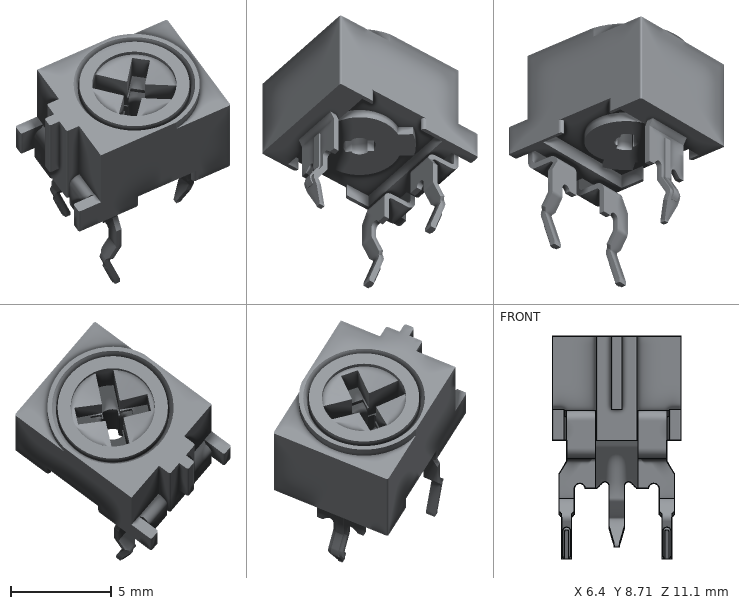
import cadquery as cq
import math


OVERCUT = 0.11
FAR = 6.66

WIDTH = 6.4
HEIGHT = 5.2
FRONT_Y = -3.75
BACK_Y = 3.7
EAR_FRONT_Y = -5.01
EDGE_ROUND = 0.1

BACK_STEP = 0.5
COLLAR_D = 6.5

WIDE_RIB_WIDTH = 2.02
WIDE_RIB_FRONT_Y = -4.45
NARROW_RIB_WIDTH = 0.53
EAR_HEIGHT = 1.55
EAR_WIDTH = 0.58

BORE_D = 5.65
BORE_FLOOR_Z = 2.22
BORE_RIM_D = 6.06
BORE_RIM_DEPTH = 0.33

SIDE_SLOT_WIDTH = 3.06
SIDE_SLOT_HEIGHT = 0.74
SIDE_SLOT_ROUND = 0.19
CAVITY_WALL = 0.2
CAVITY_FRONT_Y = -2.89
CAVITY_BACK_Y = 2.16

ROTOR_D = 5.5
ROTOR_BOSS_D = 4.2
ROTOR_BOTTOM_Z = 0.24
ROTOR_TURN = 50.0
RECESS_D = 4.2
RECESS_DEPTH = 0.22
CONE_DROP = 0.34
SLOT_WIDTH = 0.91
LONG_SLOT_DEPTH = 2.29
SHORT_SLOT_DEPTH = 1.66
SHORT_SLOT_LENGTH = 3.71
HUB_POCKET_LENGTH = 2.11
HUB_POCKET_WIDTH = 0.78
HUB_POCKET_DEPTH = 1.89
HUB_HOLE_D = 1.2
HUB_HOLE_ROUND = 0.23
LONG_HOLE_LENGTH = 1.62
STOP_WIDTH = 1.53
STOP_REACH = 2.8

SHEET = 0.3
HALF_SHEET = SHEET / 2
TIGHT_BEND = HALF_SHEET
KNEE_BEND = 0.1 + HALF_SHEET
ROUND_BEND = 0.2 + HALF_SHEET
SHARP = 0.001
BLADE_WIDTH = 0.78
BLADE_BASE_Z = -2.39
BEAD_HEIGHT = 0.1
BEAD_WIDTH = 0.4
BEAD_FLANK_ANGLE = 45

OVERALL_HEIGHT = 11.1
FRONT_TIP_Z = HEIGHT - OVERALL_HEIGHT
FRONT_BLADE_X = 2.5
FRONT_ROOT_Y = -3.22
FRONT_ROOT_Z = 1.34
FRONT_HANG_Y = -4.16
FRONT_BLADE_Y = -2.53
FRONT_SHELF_Z = -0.75
FRONT_HEEL = (FRONT_BLADE_Y, -2.93)
FRONT_KNEE = (-3.15, -3.86)
FRONT_FOOT = (FRONT_BLADE_Y, -5.7)
FRONT_PATH = [
    (FRONT_ROOT_Y, FRONT_ROOT_Z, 0),
    (FRONT_HANG_Y, FRONT_ROOT_Z, ROUND_BEND),
    (FRONT_HANG_Y, FRONT_SHELF_Z, ROUND_BEND),
    (FRONT_BLADE_Y, FRONT_SHELF_Z, ROUND_BEND),
    (*FRONT_HEEL, TIGHT_BEND),
    (*FRONT_KNEE, KNEE_BEND),
    (*FRONT_FOOT, TIGHT_BEND),
    (FRONT_BLADE_Y, FRONT_TIP_Z, 0),
]
FRONT_INNER_X = 1.05
FRONT_OUTER_X = 2.5
FRONT_FLARE_TOP_Z = -1.03
FRONT_FLARE_END_Z = -1.68
FRONT_NOTCH_WIDTH = 0.53
FRONT_NOTCH_HEIGHT = 0.24
FRONT_PIN_WIDTH = 0.49
FRONT_SHOULDER_START = 0.8
FRONT_SHOULDER_END = 0.99
ROOT_FLARE = 0.11
ROOT_FLARE_Y = -3.93
FRONT_BEAD_START = 0.43

REAR_BLADE_Y = 2.48
REAR_HEEL = (REAR_BLADE_Y, -2.93)
REAR_KNEE = (3.07, -3.88)
REAR_FOOT = (REAR_BLADE_Y, -5.2)
REAR_TIP_Z = -5.32
REAR_PATH = [
    (2.92, 0.44, 0),
    (REAR_BLADE_Y, -0.32, TIGHT_BEND),
    (*REAR_HEEL, TIGHT_BEND),
    (*REAR_KNEE, KNEE_BEND),
    (*REAR_FOOT, TIGHT_BEND),
    (REAR_BLADE_Y, REAR_TIP_Z, 0),
]
REAR_HALF_WIDTH = 1.3
REAR_NOTCH_R = 0.2
REAR_NOTCH_TOP_Z = -2.06
REAR_TIP_WIDTH = 0.25
REAR_TAPER_START = 0.47
REAR_BEAD_TOP_Z = -0.6
REAR_BEAD_END = (2.91, -4.14)


def block(x0, x1, y0, y1, z0, z1):
    """Box between two corners."""
    return cq.Workplane("XY").box(x1 - x0, y1 - y0, z1 - z0, centered=False).translate((x0, y0, z0))


def cylinder(diameter, z0, z1):
    """Cylinder on the rotor axis."""
    return cq.Workplane("XY").workplane(offset=z0).circle(diameter / 2).extrude(z1 - z0)



def path_side(path, offset):
    """One face of a folded sheet, `offset` to the left of its path.

    Each corner of the path gives one point, or three points of an arc where the sheet is bent round.
    """
    side = []
    for i, (y, z, radius) in enumerate(path):
        before = path[max(i - 1, 0)]
        after = path[min(i + 1, len(path) - 1)]
        heading_in = math.atan2(z - before[1], y - before[0])
        heading_out = math.atan2(after[1] - z, after[0] - y)
        if i == 0:
            heading_in = heading_out
        if i == len(path) - 1:
            heading_out = heading_in
        turn = math.remainder(heading_out - heading_in, 2 * math.pi)
        left = heading_in + turn / 2 + math.pi / 2
        bend = math.copysign(1, turn)
        side_radius = radius - bend * offset
        if turn == 0 or side_radius < SHARP:
            reach = offset / math.cos(turn / 2)
            side.append([(y + reach * math.cos(left), z + reach * math.sin(left))])
            continue
        centre_reach = bend * radius / math.cos(turn / 2)
        centre = (y + centre_reach * math.cos(left), z + centre_reach * math.sin(left))
        arc = []
        for part in (-0.5, 0, 0.5):
            angle = left + part * turn
            arc_y = centre[0] - bend * side_radius * math.cos(angle)
            arc_z = centre[1] - bend * side_radius * math.sin(angle)
            arc.append((arc_y, arc_z))
        side.append(arc)
    return side


def folded_sheet(path, right, left, x0, x1):
    """Sheet between two offsets of a Y-Z path, from x0 to x1."""
    there = path_side(path, right)
    back = [corner[::-1] for corner in reversed(path_side(path, left))]
    corners = there + back
    outline = cq.Workplane("YZ").workplane(offset=x0).moveTo(*corners[0][0])
    for corner in corners[1:]:
        outline = outline.lineTo(*corner[0])
        if len(corner) > 1:
            outline = outline.threePointArc(*corner[1:])
    return outline.close().extrude(x1 - x0)


def blade_plane(x, start, end):
    """Plane on the sheet's centreline: local x along X, local y from start towards end."""
    dy, dz = end[0] - start[0], end[1] - start[1]
    return cq.Plane(origin=(x, start[0], start[1]), xDir=(1, 0, 0), normal=(0, -dz, dy))


def narrow_blade(blade, plane, narrow_width, shoulder_start, shoulder_end):
    """Taper both edges of a blade square to its sheet, down to narrow_width beyond the shoulder."""
    for side in (-1, 1):
        waste = (
            cq.Workplane(plane)
            .polyline([
                (side * BLADE_WIDTH / 2, shoulder_start),
                (side * narrow_width / 2, shoulder_end),
                (side * narrow_width / 2, FAR),
                (side * BLADE_WIDTH, FAR),
                (side * BLADE_WIDTH, shoulder_start),
            ])
            .close()
            .extrude(FAR, both=True)
        )
        blade = blade.cut(waste)
    return blade



def front_outline():
    """Front terminal seen along Y, on the +X side, as a prism through the whole depth."""
    blade_in = FRONT_BLADE_X - BLADE_WIDTH / 2
    blade_out = FRONT_BLADE_X + BLADE_WIDTH / 2
    notch_in = blade_in - FRONT_NOTCH_WIDTH
    notch_top = (blade_in - FRONT_NOTCH_WIDTH / 2, BLADE_BASE_Z + FRONT_NOTCH_HEIGHT)
    return (
        cq.Workplane("XZ")
        .moveTo(FRONT_INNER_X, EAR_HEIGHT)
        .lineTo(FRONT_OUTER_X, EAR_HEIGHT)
        .lineTo(FRONT_OUTER_X, FRONT_FLARE_TOP_Z)
        .lineTo(blade_out, FRONT_FLARE_END_Z)
        .lineTo(blade_out, FRONT_TIP_Z - OVERCUT)
        .lineTo(blade_in, FRONT_TIP_Z - OVERCUT)
        .lineTo(blade_in, BLADE_BASE_Z)
        .threePointArc(notch_top, (notch_in, BLADE_BASE_Z))
        .lineTo(FRONT_INNER_X, BLADE_BASE_Z)
        .close()
        .extrude(FAR, both=True)
    )


def front_root_flare(sheet):
    """Widening of the sheet towards the housing."""
    wedge = (
        cq.Workplane("XY")
        .polyline([
            (FRONT_OUTER_X, ROOT_FLARE_Y),
            (FRONT_OUTER_X + ROOT_FLARE, FRONT_Y),
            (FRONT_OUTER_X + ROOT_FLARE, FRONT_ROOT_Y),
            (FRONT_OUTER_X, FRONT_ROOT_Y),
        ])
        .close()
        .extrude(EAR_HEIGHT)
    )
    return sheet.intersect(wedge)


def front_bead():
    """Bead with sloping flanks and a round upper end, on the front of the pin below the knee."""
    plane = blade_plane(FRONT_BLADE_X, FRONT_FOOT, FRONT_KNEE)
    half = BEAD_WIDTH / 2
    top = math.dist(FRONT_FOOT, FRONT_KNEE) - FRONT_BEAD_START
    bead = (
        cq.Workplane(plane)
        .workplane(offset=HALF_SHEET)
        .moveTo(-half, top - half)
        .threePointArc((0, top), (half, top - half))
        .lineTo(half, -FAR)
        .lineTo(-half, -FAR)
        .close()
        .extrude(BEAD_HEIGHT, taper=BEAD_FLANK_ANGLE)
    )
    below_tip = block(0, WIDTH, -FAR, FAR, FRONT_TIP_Z - 2 * FAR, FRONT_TIP_Z)
    return bead.cut(below_tip)


def make_front_terminal():
    """Front terminal of the +X side."""
    sheet = folded_sheet(FRONT_PATH, -HALF_SHEET, HALF_SHEET, 0, WIDTH / 2)
    terminal = sheet.intersect(front_outline())
    thigh = blade_plane(FRONT_BLADE_X, FRONT_HEEL, FRONT_KNEE)
    terminal = narrow_blade(terminal, thigh, FRONT_PIN_WIDTH, FRONT_SHOULDER_START, FRONT_SHOULDER_END)
    return terminal.union(front_root_flare(sheet)).union(front_bead())


def rear_outline():
    """Rear terminal seen along Y, as a prism through the whole depth."""
    blade = BLADE_WIDTH / 2
    notch_x = blade + REAR_NOTCH_R
    notch_z = REAR_NOTCH_TOP_Z - REAR_NOTCH_R
    slant = REAR_NOTCH_R * math.sqrt(0.5)
    foot_x = notch_x + slant + (notch_z + slant - BLADE_BASE_Z)
    half = (
        cq.Workplane("XZ")
        .moveTo(0, EAR_HEIGHT)
        .lineTo(REAR_HALF_WIDTH, EAR_HEIGHT)
        .lineTo(REAR_HALF_WIDTH, BLADE_BASE_Z)
        .lineTo(foot_x, BLADE_BASE_Z)
        .lineTo(notch_x + slant, notch_z + slant)
        .threePointArc(
            (notch_x - REAR_NOTCH_R * math.sin(math.pi / 8), notch_z + REAR_NOTCH_R * math.cos(math.pi / 8)),
            (blade, notch_z),
        )
        .lineTo(blade, REAR_TIP_Z - OVERCUT)
        .lineTo(0, REAR_TIP_Z - OVERCUT)
        .close()
        .extrude(FAR, both=True)
    )
    return half.union(half.mirror("YZ"))


def rear_bead():
    """Bead down the back of the blade and round the knee."""
    path = [
        (REAR_BLADE_Y, REAR_BEAD_TOP_Z, 0),
        (*REAR_HEEL, TIGHT_BEND),
        (*REAR_KNEE, KNEE_BEND),
        (*REAR_BEAD_END, 0),
    ]
    return folded_sheet(path, HALF_SHEET, HALF_SHEET + BEAD_HEIGHT, -BEAD_WIDTH / 2, BEAD_WIDTH / 2)


def make_rear_terminal():
    sheet = folded_sheet(REAR_PATH, -HALF_SHEET, HALF_SHEET, -REAR_HALF_WIDTH, REAR_HALF_WIDTH)
    terminal = sheet.intersect(rear_outline())
    shin = blade_plane(0, REAR_KNEE, REAR_FOOT)
    shin_length = math.dist(REAR_KNEE, REAR_FOOT)
    terminal = narrow_blade(terminal, shin, REAR_TIP_WIDTH, REAR_TAPER_START, shin_length)
    return terminal.union(rear_bead())



def slot_tool(length, width, depth):
    """Straight slot down from the top face, along local X."""
    return block(-length / 2, length / 2, -width / 2, width / 2, HEIGHT - depth, HEIGHT + OVERCUT)


def make_rotor():
    long_floor_z = HEIGHT - LONG_SLOT_DEPTH
    rim_z = HEIGHT - RECESS_DEPTH
    rotor = cylinder(ROTOR_D, BORE_FLOOR_Z, HEIGHT)
    rotor = rotor.union(cylinder(ROTOR_BOSS_D, ROTOR_BOTTOM_Z, BORE_FLOOR_Z))
    stop = block(-STOP_REACH, 0, -STOP_WIDTH / 2, STOP_WIDTH / 2, ROTOR_BOTTOM_Z, SIDE_SLOT_HEIGHT)
    rotor = rotor.union(stop.intersect(cylinder(2 * STOP_REACH, ROTOR_BOTTOM_Z, SIDE_SLOT_HEIGHT)))

    recess = (
        cq.Workplane("XZ")
        .polyline([
            (0, HEIGHT + OVERCUT),
            (RECESS_D / 2, HEIGHT + OVERCUT),
            (RECESS_D / 2, rim_z),
            (0, rim_z - CONE_DROP),
        ])
        .close()
        .revolve(360, (0, 0), (0, 1))
    )
    rotor = rotor.cut(recess)

    long_slot = slot_tool(RECESS_D, SLOT_WIDTH, LONG_SLOT_DEPTH)
    long_slot = long_slot.intersect(cylinder(RECESS_D, long_floor_z, HEIGHT + OVERCUT))
    short_slot = slot_tool(SHORT_SLOT_LENGTH, SLOT_WIDTH, SHORT_SLOT_DEPTH)
    hub_pocket = slot_tool(HUB_POCKET_LENGTH, HUB_POCKET_WIDTH, HUB_POCKET_DEPTH)
    across = short_slot.union(hub_pocket).rotate((0, 0, 0), (0, 0, 1), 90)
    rotor = rotor.cut(long_slot).cut(across)

    pocket_floor_z = HEIGHT - HUB_POCKET_DEPTH
    mouth_r = HUB_HOLE_D / 2 + HUB_HOLE_ROUND
    arc_inset = HUB_HOLE_ROUND * (1 - math.sqrt(0.5))
    hub_hole = (
        cq.Workplane("XZ")
        .moveTo(0, pocket_floor_z)
        .lineTo(mouth_r, pocket_floor_z)
        .threePointArc(
            (HUB_HOLE_D / 2 + arc_inset, pocket_floor_z - arc_inset),
            (HUB_HOLE_D / 2, pocket_floor_z - HUB_HOLE_ROUND),
        )
        .lineTo(HUB_HOLE_D / 2, ROTOR_BOTTOM_Z)
        .lineTo(0, ROTOR_BOTTOM_Z)
        .close()
        .revolve(360, (0, 0), (0, 1))
    )
    arm = slot_tool(HUB_POCKET_LENGTH, HUB_POCKET_WIDTH, HEIGHT)
    pocket_arm = hub_hole.intersect(arm.rotate((0, 0, 0), (0, 0, 1), 90))
    long_arm = cylinder(LONG_HOLE_LENGTH, ROTOR_BOTTOM_Z, long_floor_z).intersect(arm)
    rotor = rotor.cut(pocket_arm).cut(long_arm)
    return rotor.rotate((0, 0, 0), (0, 0, 1), ROTOR_TURN)



def housing_block():
    """Main block with the lower rear top and the round collar."""
    half = WIDTH / 2
    body = block(-half, half, FRONT_Y, BACK_Y, 0, HEIGHT - BACK_STEP)
    body = body.edges("|Z and >Y").fillet(EDGE_ROUND)
    collar_end_y = math.sqrt((COLLAR_D / 2) ** 2 - half ** 2)
    front_top = block(-half, half, FRONT_Y, collar_end_y, HEIGHT - BACK_STEP, HEIGHT)
    collar = cylinder(COLLAR_D, HEIGHT - BACK_STEP, HEIGHT)
    collar = collar.intersect(block(-half, half, 0, BACK_Y, 0, HEIGHT))
    return body.union(front_top).union(collar)


def front_bar(x0, x1, front_y, back_y, z0, z1):
    """Upright bar on the front face with rounded front edges."""
    return block(x0, x1, front_y, back_y, z0, z1).edges("|Z and <Y").fillet(EDGE_ROUND)


def make_housing():
    half = WIDTH / 2
    housing = housing_block()

    wide, narrow = WIDE_RIB_WIDTH / 2, NARROW_RIB_WIDTH / 2
    housing = housing.union(front_bar(-wide, wide, WIDE_RIB_FRONT_Y, FRONT_Y, 0, HEIGHT))
    housing = housing.union(front_bar(-narrow, narrow, EAR_FRONT_Y, WIDE_RIB_FRONT_Y, EAR_HEIGHT, HEIGHT))
    for x0 in (-half, half - EAR_WIDTH):
        housing = housing.union(front_bar(x0, x0 + EAR_WIDTH, EAR_FRONT_Y, FRONT_Y, 0, EAR_HEIGHT))

    side_slot = block(-half, half, -SIDE_SLOT_WIDTH / 2, SIDE_SLOT_WIDTH / 2, 0, SIDE_SLOT_HEIGHT)
    housing = housing.cut(side_slot)
    for x in (-half, half):
        for y in (-SIDE_SLOT_WIDTH / 2, SIDE_SLOT_WIDTH / 2):
            corner = cq.selectors.NearestToPointSelector((x, y, SIDE_SLOT_HEIGHT / 2))
            housing = housing.edges(corner).fillet(SIDE_SLOT_ROUND)

    housing = housing.cut(cylinder(BORE_D, BORE_FLOOR_Z, HEIGHT))
    rim = (
        cq.Workplane("XY")
        .workplane(offset=HEIGHT - BORE_RIM_DEPTH)
        .circle(BORE_D / 2)
        .workplane(offset=BORE_RIM_DEPTH)
        .circle(BORE_RIM_D / 2)
        .loft()
    )
    housing = housing.cut(rim)
    housing = housing.cut(cylinder(ROTOR_BOSS_D, 0, BORE_FLOOR_Z))
    cavity_x = half - CAVITY_WALL
    return housing.cut(block(-cavity_x, cavity_x, CAVITY_FRONT_Y, CAVITY_BACK_Y, 0, SIDE_SLOT_HEIGHT))


right_terminal = make_front_terminal()
left_terminal = right_terminal.mirror("YZ")
rear_terminal = make_rear_terminal()
rotor = make_rotor()

housing = make_housing()
for terminal in (right_terminal, left_terminal, rear_terminal):
    housing = housing.cut(terminal)

result = cq.Compound.makeCompound([
    housing.val(),
    rotor.val(),
    right_terminal.val(),
    left_terminal.val(),
    rear_terminal.val(),
])